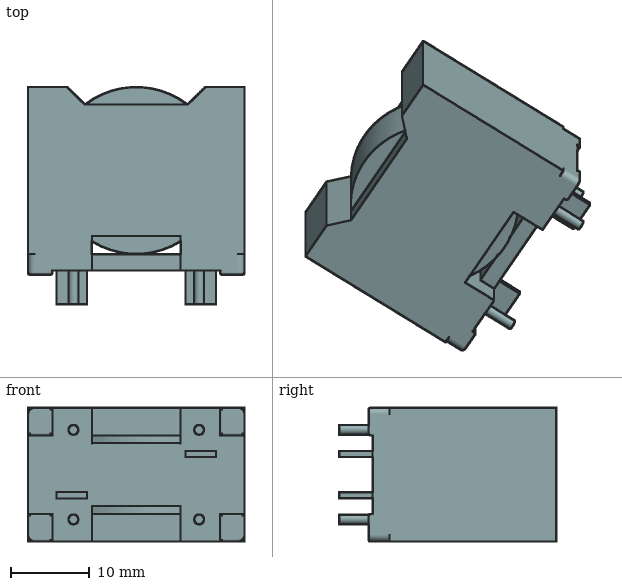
import cadquery as cq


width = 27.45
length = 27.55
height = 16.97

plate_thickness = 2.1
plate_corner_radius = 0.83
foot_width = 3.09
foot_height = 3.53
foot_projection = 0.52
foot_edge_radius = 0.28

pin_length = 4.27
pin_diameter = 1.25
pin_spacing_x = 15.92
pin_spacing_z = 11.35
blade_width = 3.88
blade_thickness = 0.8
blade_offset_x = 8.18
blade_offset_z = 2.62

core_length = length - plate_thickness - pin_length
winding_radius = core_length / 2
winding_height = 9.92

notch_outer_width = 17.55
notch_inner_width = 13.0
notch_depth = 2.2
window_width = 11.27
window_depth = 2.3
plate_slot_depth = 4.5

plate_front_y = -plate_thickness
foot_front_y = plate_front_y - foot_projection


def box_between(x_range, y_range, z_range):
    """Box given by its lower and upper limits along each axis."""
    (x0, x1), (y0, y1), (z0, z1) = x_range, y_range, z_range
    return cq.Workplane("XY").box(x1 - x0, y1 - y0, z1 - z0, centered=False).translate((x0, y0, z0))


def centred(size):
    """Limits of a span of the given size, centred on zero."""
    return (-size / 2, size / 2)


def make_core():
    """Core block with a tapered rear notch and a front window, both through its full height."""
    core = box_between(centred(width), (0, core_length), centred(height))
    notch = (
        cq.Workplane("XY")
        .polyline([
            (-notch_outer_width / 2, core_length),
            (-notch_inner_width / 2, core_length - notch_depth),
            (notch_inner_width / 2, core_length - notch_depth),
            (notch_outer_width / 2, core_length),
        ])
        .close()
        .extrude(height / 2, both=True)
    )
    window = box_between(centred(window_width), (0, window_depth), centred(height))
    return core.cut(notch).cut(window)


def make_winding():
    """Round winding exposed in the rear notch and the front window."""
    return (
        cq.Workplane("XY")
        .center(0, winding_radius)
        .circle(winding_radius)
        .extrude(winding_height / 2, both=True)
    )


def make_foot():
    """Foot at the +X, +Z corner, running through the plate, with a rounded front rim."""
    foot = box_between(
        (width / 2 - foot_width, width / 2),
        (foot_front_y, 0),
        (height / 2 - foot_height, height / 2),
    )
    foot = foot.edges("|Y and >X and >Z").fillet(plate_corner_radius)
    return foot.faces("<Y").edges().fillet(foot_edge_radius)


def make_base():
    """Base plate with rounded corners, a slot in its top and bottom edges, and four feet."""
    base = box_between(centred(width), (plate_front_y, 0), centred(height))
    base = base.edges("|Y").fillet(plate_corner_radius)

    slot = box_between(
        centred(window_width),
        (plate_front_y, 0),
        (height / 2 - plate_slot_depth, height / 2),
    )
    base = base.cut(slot).cut(slot.mirror("XY"))

    right_foot = make_foot()
    for foot in (right_foot, right_foot.mirror("YZ")):
        base = base.union(foot).union(foot.mirror("XY"))
    return base


def make_terminals():
    """Four round pins and two flat blades on the front face of the base plate."""
    front = cq.Workplane("XZ", origin=(0, plate_front_y, 0))
    pins = front.rect(pin_spacing_x, pin_spacing_z, forConstruction=True).vertices()
    pins = pins.circle(pin_diameter / 2).extrude(pin_length)
    blades = front.pushPoints([
        (-blade_offset_x, -blade_offset_z),
        (blade_offset_x, blade_offset_z),
    ])
    blades = blades.rect(blade_width, blade_thickness).extrude(pin_length)
    return pins.union(blades)


result = make_core().union(make_winding()).union(make_base()).union(make_terminals())